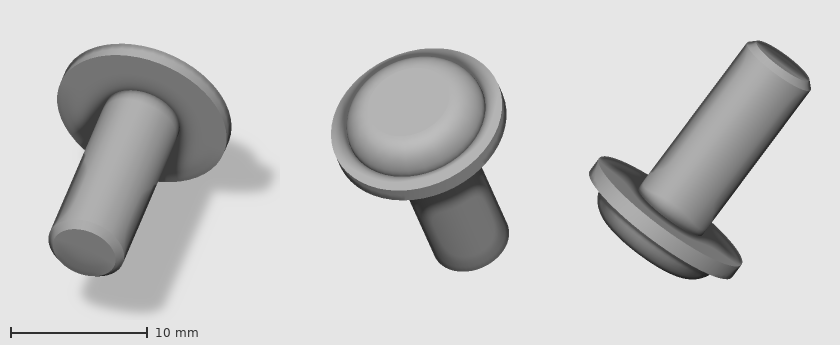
import cadquery as cq

total_length = 17.3
shank_length = 14.0
shank_diameter = 5.81
tip_chamfer = 0.5
flange_diameter = 13.0
flange_thickness = 1.2
head_diameter = 10.45
head_height = total_length - shank_length - flange_thickness


def disc(diameter, start_y, length):
    """Cylinder about the Y axis, growing from start_y toward +Y."""
    return cq.Workplane("XZ", origin=(0, start_y, 0)).circle(diameter / 2).extrude(-length)


def make_head():
    """Flat-topped head whose side is a quarter-round as tall as the head."""
    base_y = flange_thickness
    top_y = base_y + head_height
    base_radius = head_diameter / 2
    flat_radius = base_radius - head_height
    diagonal = head_height * 0.5**0.5
    return (
        cq.Workplane("XY")
        .moveTo(0, base_y)
        .lineTo(base_radius, base_y)
        .threePointArc((flat_radius + diagonal, base_y + diagonal), (flat_radius, top_y))
        .lineTo(0, top_y)
        .close()
        .revolve(360, (0, 0, 0), (0, 1, 0))
    )


shank = disc(shank_diameter, -shank_length, shank_length).faces("<Y").chamfer(tip_chamfer)
flange = disc(flange_diameter, 0, flange_thickness)

result = shank.union(flange).union(make_head())